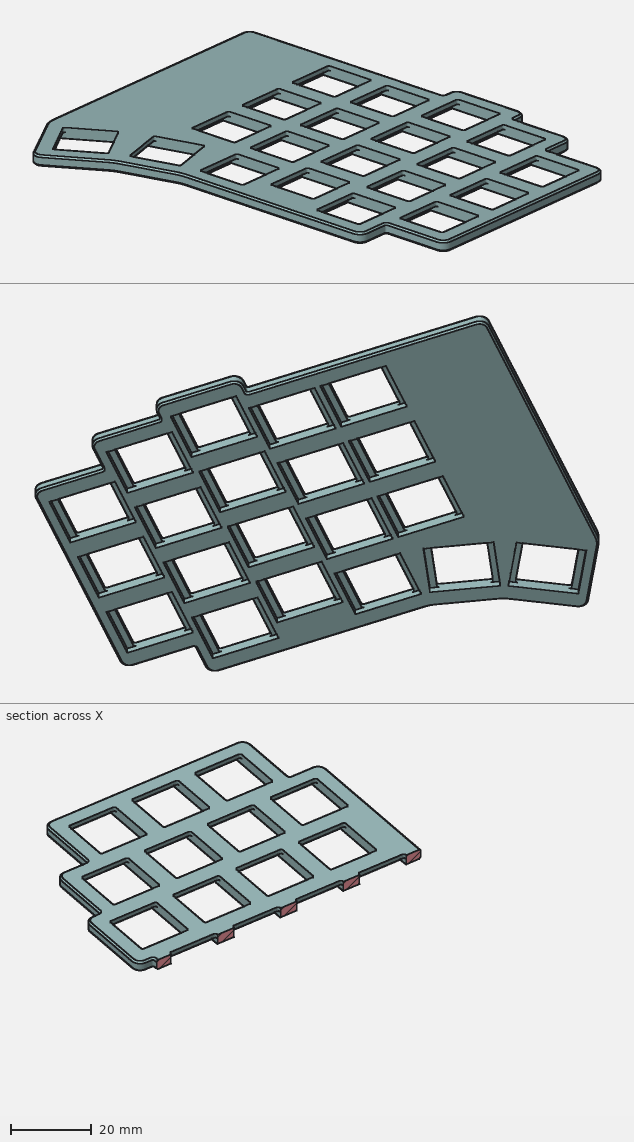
import cadquery as cq
import math

thickness = 3.0
edge_chamfer = 0.5
left_edge = -37.0

pitch = 19.0
cutout = 14.0
cutout_corner_radius = 0.5
clip_lip = 1.3
clip_recess_depth = 1.75
clip_recess_length = cutout
border = 2.0
reach = pitch / 2 + border
column_lifts = [0.0, 0.0, pitch / 4, 0.0, -pitch / 2]
column_key_counts = [3, 4, 4, 4, 3]
main_rows = max(column_key_counts)
raised_column = 2
last_main_column = 3
last_column = 4

inner_thumb = (-2.25, -59.8)
inner_thumb_tilt = 15.0
outer_thumb = (-21.85, -67.94)
outer_thumb_tilt = 30.0

outer_corner_radius = 2.5
inner_corner_radius = 0.5
shoulder_radius = 6.5
thumb_bend_radius = 10.0

main_top = reach
main_bottom = -(main_rows - 1) * pitch - reach
main_right = last_main_column * pitch + reach
raised_left = raised_column * pitch - reach
raised_right = raised_column * pitch + reach
raised_top = column_lifts[raised_column] + reach
side_right = last_column * pitch + reach
side_top = column_lifts[last_column] + reach
side_bottom = column_lifts[last_column] - (column_key_counts[last_column] - 1) * pitch - reach


def thumb_point(centre, tilt, along, across):
    """Point given in the tilted axes of a thumb key."""
    angle = math.radians(tilt)
    x = centre[0] + along * math.cos(angle) - across * math.sin(angle)
    y = centre[1] + along * math.sin(angle) + across * math.cos(angle)
    return x, y


def meet(point_a, tilt_a, point_b, tilt_b):
    """Crossing of two lines, each given by a point and its angle from X."""
    ax, ay = math.cos(math.radians(tilt_a)), math.sin(math.radians(tilt_a))
    bx, by = math.cos(math.radians(tilt_b)), math.sin(math.radians(tilt_b))
    dx, dy = point_b[0] - point_a[0], point_b[1] - point_a[1]
    distance = (dx * by - dy * bx) / (ax * by - ay * bx)
    return point_a[0] + distance * ax, point_a[1] + distance * ay


def outline_corners():
    """Sharp outline corners, clockwise from the top left, each with its rounding radius."""
    thumb_corner = thumb_point(outer_thumb, outer_thumb_tilt, -reach, -reach)
    inner_thumb_edge = thumb_point(inner_thumb, inner_thumb_tilt, 0, -reach)
    main_bend = meet(inner_thumb_edge, inner_thumb_tilt, (0, main_bottom), 0)
    thumb_bend = meet(thumb_corner, outer_thumb_tilt, inner_thumb_edge, inner_thumb_tilt)
    shoulder = meet(thumb_corner, outer_thumb_tilt + 90, (left_edge, 0), 90)
    return [
        ((left_edge, main_top), outer_corner_radius),
        ((raised_left, main_top), inner_corner_radius),
        ((raised_left, raised_top), outer_corner_radius),
        ((raised_right, raised_top), outer_corner_radius),
        ((raised_right, main_top), inner_corner_radius),
        ((main_right, main_top), outer_corner_radius),
        ((main_right, side_top), inner_corner_radius),
        ((side_right, side_top), outer_corner_radius),
        ((side_right, side_bottom), outer_corner_radius),
        ((main_right, side_bottom), inner_corner_radius),
        ((main_right, main_bottom), outer_corner_radius),
        (main_bend, thumb_bend_radius),
        (thumb_bend, thumb_bend_radius),
        (thumb_corner, outer_corner_radius),
        (shoulder, shoulder_radius),
    ]


def make_plate():
    """Plate with rounded corners and both rims chamfered."""
    corners = outline_corners()
    plate = cq.Workplane("XY").polyline([point for point, _ in corners]).close().extrude(thickness)
    for (x, y), radius in corners:
        corner_edge = cq.selectors.NearestToPointSelector((x, y, thickness / 2))
        plate = plate.edges("|Z").edges(corner_edge).fillet(radius)
    return plate.faces("<Z or >Z").edges().chamfer(edge_chamfer)


def key_cutter(centre, tilt=0.0):
    """Square key opening, widened below the lip by a clip recess on its left and right sides."""
    prism = cq.Workplane("XY").rect(cutout, cutout).extrude(thickness)
    prism = prism.edges("|Z").fillet(cutout_corner_radius)
    recess_width = cutout + 2 * clip_recess_depth
    recesses = cq.Workplane("XY").rect(recess_width, clip_recess_length).extrude(thickness - clip_lip)
    prism = prism.union(recesses)
    return prism.rotate((0, 0, 0), (0, 0, 1), tilt).translate((centre[0], centre[1], 0))


def cut_keys(plate):
    """Cut the staggered columns of keys and the two thumb keys."""
    for column, (lift, key_count) in enumerate(zip(column_lifts, column_key_counts)):
        for row in range(key_count):
            plate = plate.cut(key_cutter((column * pitch, lift - row * pitch)))
    plate = plate.cut(key_cutter(inner_thumb, inner_thumb_tilt))
    return plate.cut(key_cutter(outer_thumb, outer_thumb_tilt))


result = cut_keys(make_plate())